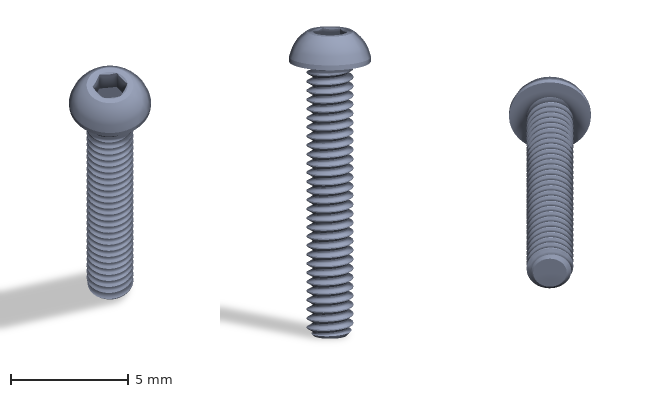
import cadquery as cq
import math

total_length = 13.3
head_diameter = 3.5
head_height = 1.3
shank_length = total_length - head_height

head_radius = head_diameter / 2
rim_height = 0.21
crown_flat_radius = 1.0
dome_mid_radius = 1.57
dome_mid_height = 0.7

socket_flats = 1.3
socket_corners = socket_flats / math.cos(math.pi / 6)
socket_depth = 0.93
socket_lead_angle = math.radians(30)

thread_radius = 1.0
thread_pitch = 0.4
thread_depth = 0.613 * thread_pitch
root_radius = thread_radius - thread_depth
crest_width = thread_pitch / 8
flank_slope = math.tan(math.radians(30))
ridge_overlap = 0.021
crest_drop = 0.06

tip_radius = 0.72
envelope_clearance = 0.12


def make_head():
    profile = (
        cq.Workplane("XZ")
        .lineTo(head_radius, 0)
        .lineTo(head_radius, rim_height)
        .threePointArc((dome_mid_radius, dome_mid_height), (crown_flat_radius, head_height))
        .lineTo(0, head_height)
        .close()
    )
    return profile.revolve(360, (0, 0, 0), (0, 1, 0))


def make_socket():
    hexagon = (
        cq.Workplane("XY", origin=(0, 0, head_height - socket_depth))
        .transformed(rotate=(0, 0, 90))
        .polygon(6, socket_corners)
        .extrude(socket_depth)
    )
    cone_radius = socket_corners / 2
    cone_depth = cone_radius * math.tan(socket_lead_angle)
    entry_cone = cq.Workplane(
        cq.Solid.makeCone(cone_radius, 0, cone_depth, cq.Vector(0, 0, head_height), cq.Vector(0, 0, -1))
    )
    return hexagon.union(entry_cone)


def make_thread_ridge():
    seat_radius = root_radius - ridge_overlap
    crest_half_width = crest_width / 2
    seat_half_width = crest_half_width + (thread_radius - seat_radius) * flank_slope
    turns = math.ceil(shank_length / thread_pitch) + 3
    start_z = -crest_drop - (turns - 1) * thread_pitch

    path = cq.Wire.makeHelix(thread_pitch, turns * thread_pitch, seat_radius, cq.Vector(0, 0, start_z))
    profile = cq.Workplane("XZ").polyline([
        (seat_radius, start_z - seat_half_width),
        (thread_radius, start_z - crest_half_width),
        (thread_radius, start_z + crest_half_width),
        (seat_radius, start_z + seat_half_width),
    ]).close()
    return profile.sweep(cq.Workplane(path), isFrenet=True)


def make_shank_envelope():
    envelope_radius = thread_radius + envelope_clearance
    cone_height = envelope_radius - tip_radius
    profile = cq.Workplane("XZ").polyline([
        (0, -shank_length),
        (tip_radius, -shank_length),
        (envelope_radius, cone_height - shank_length),
        (envelope_radius, 0),
        (0, 0),
    ]).close()
    return profile.revolve(360, (0, 0, 0), (0, 1, 0))


def make_shank():
    overrun = 4 * thread_pitch
    core = (
        cq.Workplane("XY", origin=(0, 0, -shank_length - overrun))
        .circle(root_radius)
        .extrude(shank_length + 2 * overrun)
    )
    return core.union(make_thread_ridge()).intersect(make_shank_envelope())


result = make_head().cut(make_socket()).union(make_shank())